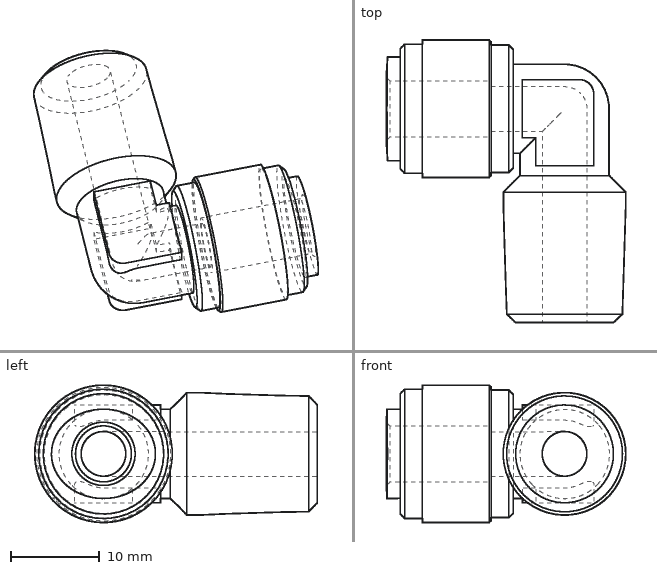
import cadquery as cq


overall_length_x = 27.0
overall_length_y = 31.85
sleeve_diameter = 15.5
sleeve_radius = sleeve_diameter / 2
stem_radius = 6.9

elbow_radius = 5.03
pad_half_height = 5.5
pad_left = -4.75
pad_right = 3.28
pad_back = 3.28
pad_front = -6.43
pad_notch = -3.25
pad_corner_radius = 1.6

socket_inner_end = -5.75
sleeve_inner_end = -8.28
sleeve_outer_end = -16.02
socket_outer_end = -18.5
tube_end = stem_radius - overall_length_x
rear_radius = 7.2
front_radius = 7.3
socket_chamfer = 0.5
sleeve_chamfer = 0.22

ring_half_width = 5.85
ring_half_height = 5.03
ring_face_drop = 0.15

neck_end = -7.52
shoulder_end = -9.4
taper_start = -10.83
taper_end = -23.12
stem_end = sleeve_radius - overall_length_y
taper_end_radius = 6.53
stem_tip_radius = 5.5

bore_radius = 2.52
tube_radius = 3.15
tube_mouth_radius = 3.57
tube_stop = sleeve_inner_end
mouth_chamfer = tube_mouth_radius - tube_radius


def turned_about_x(profile):
    """Revolve a closed (x, radius) profile about the tube axis."""
    return cq.Workplane("XY").polyline(profile).close().revolve(360, (0, 0, 0), (1, 0, 0))


def turned_about_y(profile):
    """Revolve a closed (radius, y) profile about the stem axis."""
    return cq.Workplane("XY").polyline(profile).close().revolve(360, (0, 0, 0), (0, 1, 0))


def make_socket():
    return turned_about_x([
        (0, 0),
        (0, elbow_radius),
        (socket_inner_end, elbow_radius),
        (socket_inner_end, rear_radius - socket_chamfer),
        (socket_inner_end - socket_chamfer, rear_radius),
        (sleeve_inner_end, rear_radius),
        (sleeve_inner_end, sleeve_radius - sleeve_chamfer),
        (sleeve_inner_end - sleeve_chamfer, sleeve_radius),
        (sleeve_outer_end, sleeve_radius),
        (sleeve_outer_end, front_radius),
        (socket_outer_end + socket_chamfer, front_radius),
        (socket_outer_end, front_radius - socket_chamfer),
        (socket_outer_end, 0),
    ])


def make_release_ring():
    oval = (
        cq.Workplane("YZ", origin=(tube_end, 0, 0))
        .ellipse(ring_half_width, ring_half_height)
        .extrude(socket_outer_end - tube_end)
    )
    conical_face = turned_about_x([
        (socket_outer_end, 0),
        (tube_end, 0),
        (tube_end, tube_mouth_radius),
        (tube_end + ring_face_drop, ring_half_width),
        (socket_outer_end, ring_half_width),
    ])
    return oval.intersect(conical_face)


def make_stem():
    return turned_about_y([
        (0, 0),
        (elbow_radius, 0),
        (elbow_radius, neck_end),
        (stem_radius, shoulder_end),
        (stem_radius, taper_start),
        (taper_end_radius, taper_end),
        (stem_tip_radius, stem_end),
        (0, stem_end),
    ])


def make_pad():
    """L-shaped block that leaves a flat above and below the elbow."""
    return (
        cq.Workplane("XY", origin=(0, 0, -pad_half_height))
        .moveTo(pad_left, pad_back)
        .lineTo(pad_right - pad_corner_radius, pad_back)
        .radiusArc((pad_right, pad_back - pad_corner_radius), pad_corner_radius)
        .lineTo(pad_right, pad_front)
        .lineTo(pad_notch, pad_front)
        .lineTo(pad_notch, pad_notch)
        .lineTo(pad_left, pad_notch)
        .close()
        .extrude(2 * pad_half_height)
    )


def make_passage():
    """Tube seat and bore, joined by a ball at the crossing to the stem bore."""
    tube_side = turned_about_x([
        (0, 0),
        (0, bore_radius),
        (tube_stop, bore_radius),
        (tube_stop, tube_radius),
        (tube_end + mouth_chamfer, tube_radius),
        (tube_end, tube_mouth_radius),
        (tube_end, 0),
    ])
    stem_side = turned_about_y([
        (0, 0),
        (bore_radius, 0),
        (bore_radius, stem_end),
        (0, stem_end),
    ])
    return tube_side.union(stem_side).union(cq.Workplane("XY").sphere(bore_radius))


body = make_socket().union(make_stem())
body = body.union(cq.Workplane("XY").sphere(elbow_radius))
body = body.union(make_pad()).union(make_release_ring())
result = body.cut(make_passage())